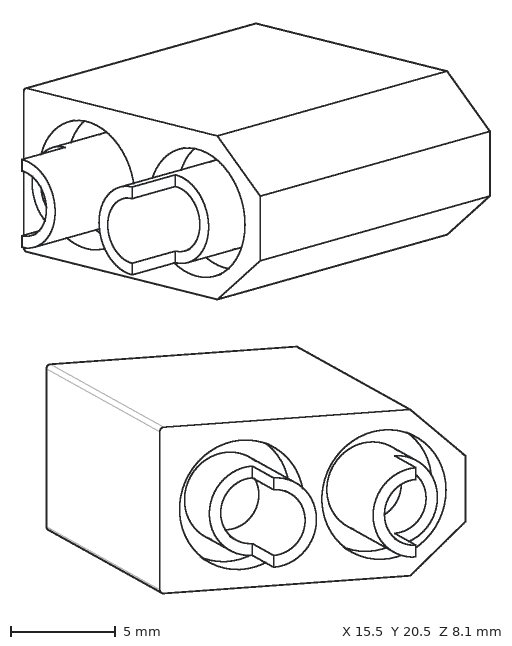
import cadquery as cq
import math

overall_length = 20.5
housing_width = 15.5
housing_length = 16.0
housing_height = 8.1
taper_width = 2.8
taper_end_height = 3.2
corner_radius = 0.2

contact_spacing = 7.22
first_contact_x = 4.15
recess_diameter = 6.3
recess_depth = 2.0
contact_diameter = 4.35
bore_diameter = 3.2
long_half_reach = overall_length - housing_length
short_half_reach = 1.5
bore_end_y = recess_depth
bore_tip_angle = 136.0

contact_radius = contact_diameter / 2
bore_radius = bore_diameter / 2

contact_places = [
    (first_contact_x, 1),
    (first_contact_x + contact_spacing, -1),
]


def cylinder_along_y(center_x, diameter, start_y, end_y):
    """Cylinder parallel to Y that runs from start_y up to end_y."""
    return (
        cq.Workplane("XZ", origin=(center_x, start_y, 0))
        .circle(diameter / 2)
        .extrude(start_y - end_y)
    )


def make_housing():
    """Block tapered towards +X, with a recess and a through hole for each contact."""
    top = housing_height / 2
    tip = taper_end_height / 2
    shoulder_x = housing_width - taper_width
    body = (
        cq.Workplane("XZ")
        .moveTo(0, -top)
        .lineTo(shoulder_x, -top)
        .lineTo(housing_width, -tip)
        .lineTo(housing_width, tip)
        .lineTo(shoulder_x, top)
        .lineTo(0, top)
        .close()
        .extrude(-housing_length)
    )
    body = body.edges("|Y and <X").fillet(corner_radius)
    for center_x, _ in contact_places:
        recess = cylinder_along_y(center_x, recess_diameter, 0, recess_depth)
        contact_hole = cylinder_along_y(center_x, contact_diameter, 0, housing_length)
        body = body.cut(recess).cut(contact_hole)
    return body


def make_bore(center_x):
    """Blind drilled hole with a conical end, open at the front of the contact."""
    tip_length = bore_radius / math.tan(math.radians(bore_tip_angle / 2))
    return (
        cq.Workplane("XY")
        .moveTo(0, -long_half_reach)
        .lineTo(bore_radius, -long_half_reach)
        .lineTo(bore_radius, bore_end_y)
        .lineTo(0, bore_end_y + tip_length)
        .close()
        .revolve(axisStart=(0, 0, 0), axisEnd=(0, 1, 0))
        .translate((center_x, 0, 0))
    )


def make_contact(center_x, long_side):
    """Round contact whose front end is a solder cup with one half cut back."""
    body = cylinder_along_y(center_x, contact_diameter, -long_half_reach, housing_length)
    cut_back_length = long_half_reach - short_half_reach
    cut_back_center = (
        center_x - long_side * contact_radius / 2,
        -long_half_reach + cut_back_length / 2,
        0,
    )
    cut_back = (
        cq.Workplane("XY")
        .box(contact_radius, cut_back_length, contact_diameter)
        .translate(cut_back_center)
    )
    return body.cut(make_bore(center_x)).cut(cut_back)


housing = make_housing()
contacts = [make_contact(center_x, long_side) for center_x, long_side in contact_places]

result = cq.Compound.makeCompound([housing.val(), *[contact.val() for contact in contacts]])